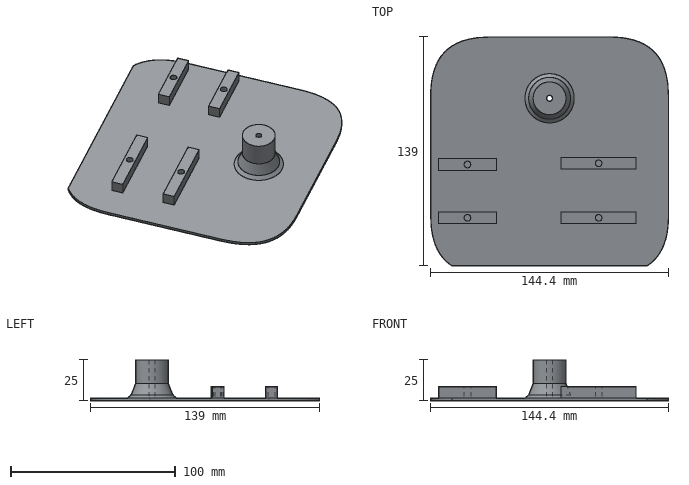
import cadquery as cq

half_width = 72.2
front_y = -66.8
plate_thickness = 1.7
corner_length = 36.1
corner_tension = 0.68

total_height = 25.0
boss_y = 35.0
boss_diameter = 20.0
boss_bore_diameter = 3.5
flare_top_z = 10.7
flare_step_z = 3.8
flare_step_diameter = 25.5
flare_base_diameter = 29.9

bar_width = 7.1
bar_height = 7.0
bar_hole_diameter = 4.0
short_bar_length = 35.1
short_bar_x = -49.9
long_bar_length = 45.4
long_bar_x = 29.8
front_row_y = -37.5
short_bar_back_y = -5.2
long_bar_back_y = -4.5


def rounded_square():
    """Solid square plate whose corners are smooth cubic curves."""
    straight = half_width - corner_length
    control = straight + corner_tension * corner_length
    h = half_width
    return (
        cq.Workplane("XY")
        .moveTo(h, -straight)
        .lineTo(h, straight)
        .bezier([(h, straight), (h, control), (control, h), (straight, h)])
        .lineTo(-straight, h)
        .bezier([(-straight, h), (-control, h), (-h, control), (-h, straight)])
        .lineTo(-h, -straight)
        .bezier([(-h, -straight), (-h, -control), (-control, -h), (-straight, -h)])
        .lineTo(straight, -h)
        .bezier([(straight, -h), (control, -h), (h, -control), (h, -straight)])
        .close()
        .extrude(plate_thickness)
    )


def plate():
    """Rounded square with its -Y edge trimmed flat."""
    depth = half_width - front_y
    kept_area = (
        cq.Workplane("XY")
        .center(0, front_y + depth / 2)
        .rect(2 * half_width, depth)
        .extrude(plate_thickness)
    )
    return rounded_square().intersect(kept_area)


def boss():
    """Revolved boss, running down through the plate."""
    profile = [
        (0, 0),
        (flare_base_diameter / 2, 0),
        (flare_base_diameter / 2, plate_thickness),
        (flare_step_diameter / 2, flare_step_z),
        (boss_diameter / 2, flare_top_z),
        (boss_diameter / 2, total_height),
        (0, total_height),
    ]
    turned = cq.Workplane("XZ").polyline(profile).close().revolve(360, (0, 0), (0, 1))
    return turned.translate((0, boss_y, 0))


def bar(length, x, y):
    """Bar on the plate with a central hole down to the plate surface."""
    return (
        cq.Workplane("XY", origin=(x, y, plate_thickness))
        .rect(length, bar_width)
        .circle(bar_hole_diameter / 2)
        .extrude(bar_height)
    )


boss_bore = (
    cq.Workplane("XY")
    .center(0, boss_y)
    .circle(boss_bore_diameter / 2)
    .extrude(total_height)
)

result = plate().union(boss()).cut(boss_bore)
for bar_length, bar_x, back_row_y in (
    (short_bar_length, short_bar_x, short_bar_back_y),
    (long_bar_length, long_bar_x, long_bar_back_y),
):
    for bar_y in (front_row_y, back_row_y):
        result = result.union(bar(bar_length, bar_x, bar_y))